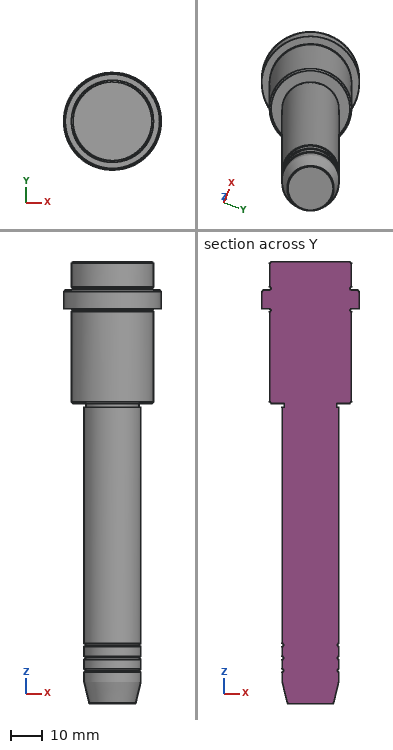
import cadquery as cq

length = 140.0
flange_radius = 31.0 / 2
head_radius = 13.0
pin_radius = 18.0 / 2
tip_radius = 7.4

taper_top = 7.0
pin_top = 94.0
sleeve_bottom = 95.0
flange_bottom = 125.0
flange_top = 131.0

edge_chamfer = 0.5
tip_chamfer = 0.3

relief_depth = 0.5
upper_relief_width = 1.0
lower_relief_width = 0.8

groove_count = 3
first_groove_height = 10.5
groove_pitch = 4.0
groove_width = 1.1
groove_depth = 0.5


def revolve_profile(points):
    """Solid of revolution about Z from (radius, height) points."""
    return cq.Workplane("XZ").polyline(points).close().revolve(360, (0, 0, 0), (0, 1, 0))


def v_groove(radius, depth, bottom, width):
    """Points that run up a V groove in a shaft of the given radius."""
    return [
        (radius, bottom),
        (radius - depth, bottom + width / 2),
        (radius, bottom + width),
    ]


def pin_profile():
    """Chamfered, tapered tip and grooved shaft, up to the undercut below the sleeve."""
    points = [
        (0, 0),
        (tip_radius - tip_chamfer, 0),
        (tip_radius, tip_chamfer),
        (pin_radius, taper_top),
    ]
    for index in range(groove_count):
        bottom = first_groove_height + index * groove_pitch - groove_width / 2
        points += v_groove(pin_radius, groove_depth, bottom, groove_width)
    points += [
        (pin_radius, pin_top),
        (pin_radius - relief_depth, pin_top),
        (pin_radius - relief_depth, sleeve_bottom),
    ]
    return points


def sleeve_profile():
    """Chamfered sleeve with a V relief directly below the flange."""
    points = [
        (head_radius - edge_chamfer, sleeve_bottom),
        (head_radius, sleeve_bottom + edge_chamfer),
    ]
    relief_bottom = flange_bottom - lower_relief_width
    return points + v_groove(head_radius, relief_depth, relief_bottom, lower_relief_width)


def flange_profile():
    """Flange with a chamfered upper edge."""
    return [
        (flange_radius, flange_bottom),
        (flange_radius, flange_top - edge_chamfer),
        (flange_radius - edge_chamfer, flange_top),
    ]


def head_profile():
    """Chamfered head with a V relief directly above the flange."""
    points = v_groove(head_radius, relief_depth, flange_top, upper_relief_width)
    return points + [
        (head_radius, length - edge_chamfer),
        (head_radius - edge_chamfer, length),
        (0, length),
    ]


result = revolve_profile(pin_profile() + sleeve_profile() + flange_profile() + head_profile())